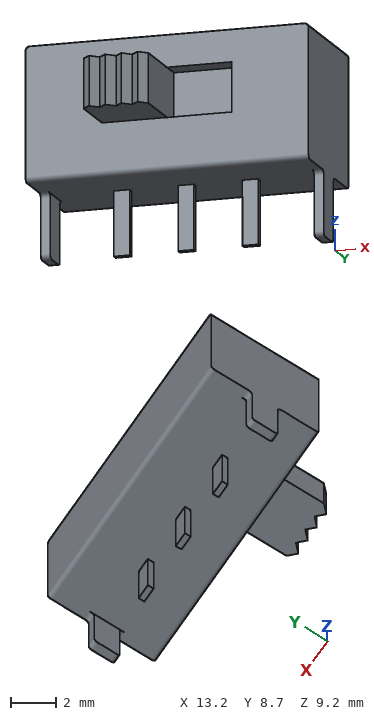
import cadquery as cq
import math

length = 13.2
depth = 5.7
total_height = 9.2
leg_length = 3.0
edge_radius = 0.21
body_height = total_height - leg_length
front_y = -depth / 2

tab_thickness = 0.45
tab_width = 1.37
tab_root_radius = 0.21

pin_count = 3
pin_pitch = 3.0
pin_width = 0.74
pin_thickness = 0.3

window_length = 6.05
window_height = 2.3
window_depth = 1.0
window_z = 6.56
slider_length = window_length / 2
slider_reach = 3.0
tooth_count = 4
tooth_pitch = slider_length / tooth_count
tooth_height = tooth_pitch / 2


def make_housing():
    """Block rounded along its two upper side edges and its lower long edges."""
    block = cq.Workplane("XY").box(length, depth, body_height, centered=(True, True, False))
    block = block.translate((0, 0, leg_length))
    return block.edges("(|Y and >Z) or (|X and <Z)").fillet(edge_radius)


def make_tab(start_x):
    """Mounting tab with rounded tip corners and flared root, extruded along +X."""
    half_width = tab_width / 2
    root_half_width = half_width + tab_root_radius
    root_z = leg_length - tab_root_radius
    flare_offset = tab_root_radius * (1 - math.sqrt(0.5))
    tab = (
        cq.Workplane("YZ", origin=(start_x, 0, 0))
        .moveTo(-half_width, 0)
        .lineTo(half_width, 0)
        .lineTo(half_width, root_z)
        .threePointArc((half_width + flare_offset, leg_length - flare_offset), (root_half_width, leg_length))
        .lineTo(-root_half_width, leg_length)
        .threePointArc((-half_width - flare_offset, leg_length - flare_offset), (-half_width, root_z))
        .close()
        .extrude(tab_thickness)
    )
    return tab.edges("|X and <Z").fillet(edge_radius)


def make_pin(center_x):
    pin = cq.Workplane("XY").box(pin_width, pin_thickness, leg_length, centered=(True, True, False))
    return pin.translate((center_x, 0, 0))


def make_window():
    """Rectangular recess cut into the front face."""
    recess = cq.Workplane("XY").box(window_length, window_depth, window_height, centered=(True, False, True))
    return recess.translate((0, front_y, window_z))


def make_slider():
    """Slider at the -X end of the window, with a row of V-shaped grip teeth."""
    back_y = front_y + window_depth
    tip_y = front_y - slider_reach
    valley_y = tip_y + tooth_height
    left_x = -window_length / 2
    outline = [(left_x, back_y), (left_x, valley_y)]
    for tooth in range(tooth_count):
        tooth_x = left_x + tooth * tooth_pitch
        outline.append((tooth_x + tooth_pitch / 2, tip_y))
        outline.append((tooth_x + tooth_pitch, valley_y))
    outline.append((left_x + slider_length, back_y))
    bottom_z = window_z - window_height / 2
    return cq.Workplane("XY", origin=(0, 0, bottom_z)).polyline(outline).close().extrude(window_height)


result = make_housing().cut(make_window()).union(make_slider())
for tab_x in (-length / 2, length / 2 - tab_thickness):
    result = result.union(make_tab(tab_x))
for index in range(pin_count):
    result = result.union(make_pin((index - (pin_count - 1) / 2) * pin_pitch))